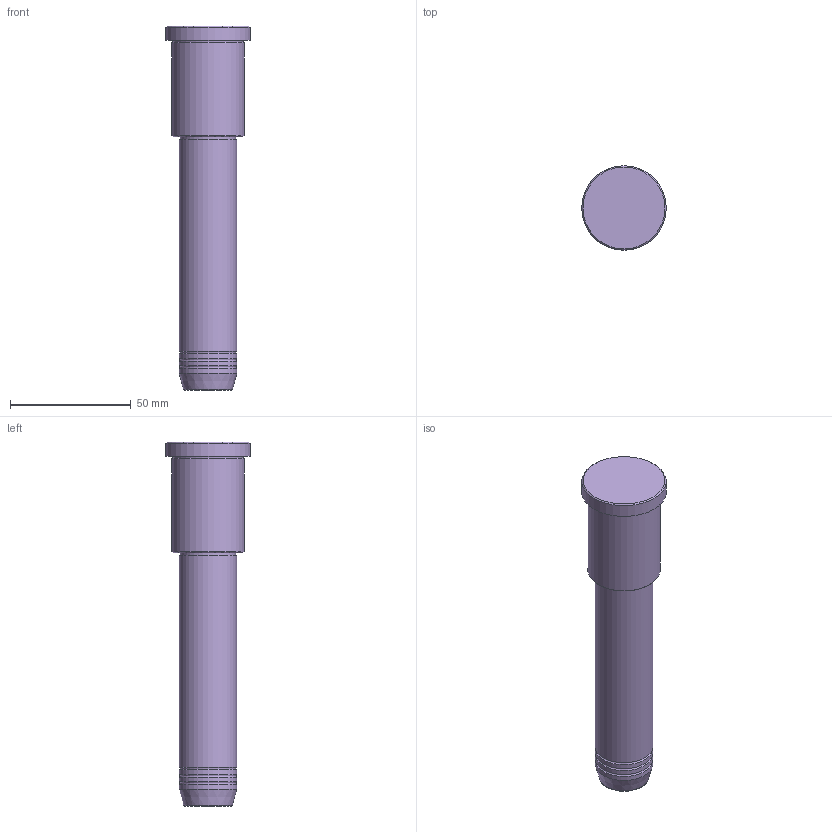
import cadquery as cq
import math

total_length = 151.0
flange_diameter = 35.0
flange_height = 6.0
shoulder_diameter = 30.0
shoulder_length = 40.0
shaft_diameter = 24.0

flange_top_chamfer = 0.5
shoulder_bottom_chamfer = 0.5
tip_fillet = 0.5

taper_height = 7.0
taper_angle = 15.0

groove_radius = 0.5
ring_pitch = 3.0
ring_count = 3
lowest_ring_center = 9.5

undercut_width = 1.0
undercut_depth = 0.5

flange_bottom = total_length - flange_height
shoulder_bottom = flange_bottom - shoulder_length
undercut_bottom = shoulder_bottom - undercut_width
flange_radius = flange_diameter / 2
shoulder_radius = shoulder_diameter / 2
shaft_radius = shaft_diameter / 2
undercut_radius = shaft_radius - undercut_depth
tip_radius = shaft_radius - taper_height * math.tan(math.radians(taper_angle))


def add_groove(outline, wall_radius, center_height):
    """Run the outline up to a half-round groove and through it, as two quarter arcs."""
    diagonal = groove_radius * math.sqrt(0.5)
    floor = (wall_radius - groove_radius, center_height)
    top = (wall_radius, center_height + groove_radius)
    return (
        outline.lineTo(wall_radius, center_height - groove_radius)
        .threePointArc((wall_radius - diagonal, center_height - diagonal), floor)
        .threePointArc((wall_radius - diagonal, center_height + diagonal), top)
    )


def add_shaft(outline):
    """Tapered tip, ring grooves and undercut, ending at the underside of the shoulder."""
    outline = outline.lineTo(tip_radius, 0).lineTo(shaft_radius, taper_height)
    for index in range(ring_count):
        outline = add_groove(outline, shaft_radius, lowest_ring_center + index * ring_pitch)
    return (
        outline.lineTo(shaft_radius, undercut_bottom)
        .lineTo(undercut_radius, undercut_bottom)
        .lineTo(undercut_radius, shoulder_bottom)
    )


def add_shoulder(outline):
    """Chamfered shoulder with a groove at its top, ending at the flange underside."""
    outline = outline.lineTo(shoulder_radius - shoulder_bottom_chamfer, shoulder_bottom)
    outline = outline.lineTo(shoulder_radius, shoulder_bottom + shoulder_bottom_chamfer)
    return add_groove(outline, shoulder_radius, flange_bottom - groove_radius)


def add_flange(outline):
    """Flange with a chamfered top edge, ending on the axis."""
    return (
        outline.lineTo(flange_radius, flange_bottom)
        .lineTo(flange_radius, total_length - flange_top_chamfer)
        .lineTo(flange_radius - flange_top_chamfer, total_length)
        .lineTo(0, total_length)
    )


half_section = cq.Workplane("XZ").moveTo(0, 0)
half_section = add_shaft(half_section)
half_section = add_shoulder(half_section)
half_section = add_flange(half_section).close()

pin = half_section.revolve(360, (0, 0), (0, 1))
result = pin.faces("<Z").edges().fillet(tip_fillet)